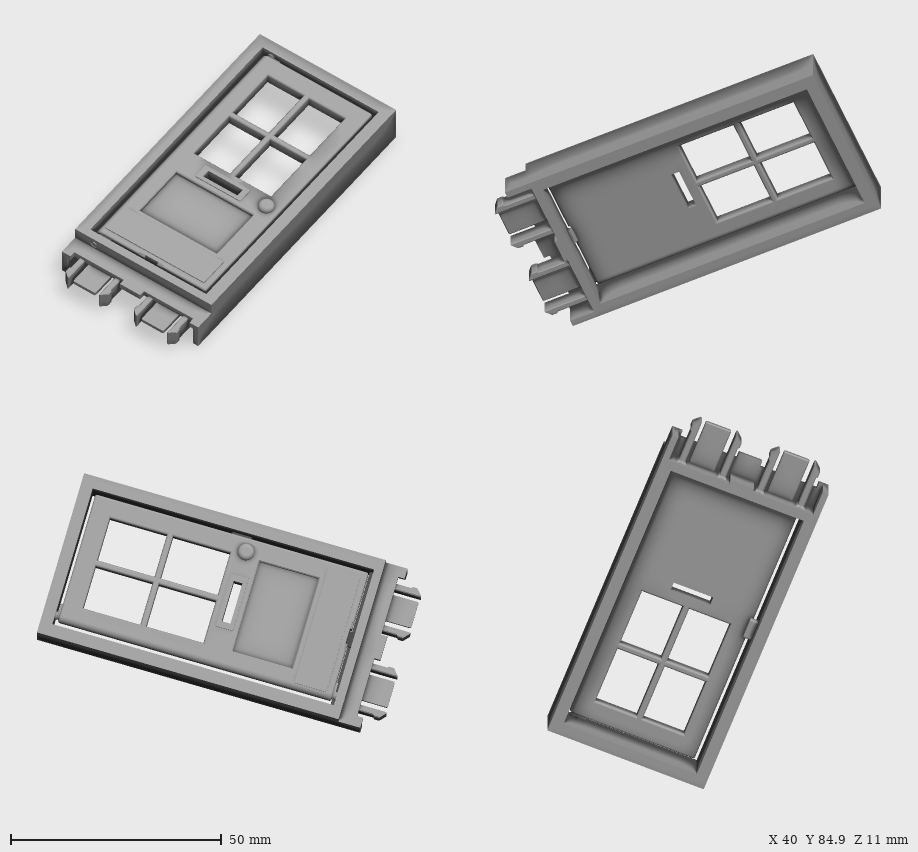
import cadquery as cq
import math


frame_width = 40.0
frame_height = 80.0
frame_depth = 10.0
bar_width = 3.0
opening_bottom = 7.4
sill_length = 5.35
sill_depth = 6.9
threshold_width = 1.0
cavity_ceiling = 5.35
cavity_wall = 1.5
cavity_length = 5.35
pocket_extra_length = 0.85
notch_length = 1.5
notch_end_margin = 2.55
centre_block_width = 5.95

opening_half_width = frame_width / 2 - bar_width
opening_top = frame_height - bar_width
notch_width = (frame_width - centre_block_width) / 2 - notch_end_margin
notch_centre = (centre_block_width + notch_width) / 2
pocket_width = (frame_width - centre_block_width) / 2 - cavity_wall
pocket_centre = (centre_block_width + pocket_width) / 2
pocket_end = cavity_length + pocket_extra_length

clip_centre = frame_width / 4
clip_reach = 4.9
clip_inner = 4.4
clip_outer = 5.95
barb_overhang = 0.3
barb_start = 2.1
barb_full = 2.4
barb_taper = 3.6
clip_tip_width = 0.3
clip_bottom = 1.7
clip_top = 5.95
clip_chamfer = 0.25
root_flare = 0.5
tongue_width = 6.45
tongue_reach = 4.75
tongue_thickness = 1.2
tongue_corner = 0.3
tongue_chamfer = 0.25

door_gap = 1.0
door_radius = 1.5
door_rounding = 0.5
door_bottom_z = 6.6

door_thickness = 2 * door_radius
door_top_z = door_bottom_z + door_thickness
door_half_width = opening_half_width - door_gap
door_y_min = opening_bottom + door_gap
door_y_max = opening_top - door_gap
door_length = door_y_max - door_y_min
door_y_mid = (door_y_min + door_y_max) / 2
hinge_x = door_radius - door_half_width
hinge_z = door_bottom_z + door_radius

boss_length = 0.5
boss_run = 3.0
boss_radius = 0.85
pin_root_radius = 1.1
pin_tip_radius = 0.6
hole_root_radius = 1.2
hole_tip_radius = 1.0
pin_depth = opening_bottom - sill_length

glazing_x = 0.1
glazing_y = 56.2
glazing_width = 23.6
glazing_height = 30.7
muntin_width = 0.5
rim_radius = 0.5
letter_plate_size = (13.2, 4.2)
letter_slot_size = (10.1, 2.1)
letter_y = 37.5
plate_thickness = 0.25
panel_size = (23.1, 15.2)
panel_y = 26.75
panel_depth = 1.0
panel_chamfer = 0.25
kick_plate_right = 14.4
kick_plate_y = (10.0, 17.9)
knob_x = 12.6
knob_y = 37.8
knob_flat_radius = 1.0
knob_round_radius = 1.0
knob_top_z = 11.0

catch_width = 3.7
catch_relief_width = 7.0
catch_end_y = 9.3
catch_top_z = 6.6
catch_low_z = 5.5
catch_base_z = 4.25
side_stop_length = 5.0
side_stop_reach = 2.0
side_stop_top_z = 5.95
side_stop_thickness = 1.7
side_stop_rounding = 0.5


def block(x_range, y_range, z_range):
    """Box between the given limits."""
    sides = [limits[1] - limits[0] for limits in (x_range, y_range, z_range)]
    return cq.Workplane().box(*sides, centered=False).translate((x_range[0], y_range[0], z_range[0]))


def centred_block(x_centre, width, y_range, z_range):
    """Box of the given width, centred on x_centre."""
    return block((x_centre - width / 2, x_centre + width / 2), y_range, z_range)


def cone_on_hinge(root_radius, tip_radius, root_y, tip_y):
    """Cone on the hinge axis, from its root at root_y to its tip at tip_y."""
    direction = cq.Vector(0, math.copysign(1, tip_y - root_y), 0)
    root = cq.Vector(hinge_x, root_y, hinge_z)
    return cq.Workplane(cq.Solid.makeCone(root_radius, tip_radius, abs(tip_y - root_y), root, direction))


def make_clip():
    """Barbed snap clip on the +X side of a clip group whose centre is X = 0."""
    barb_outer = clip_outer + barb_overhang
    outline = [
        (clip_inner, pocket_end),
        (clip_inner, -clip_reach),
        (clip_inner + clip_tip_width, -clip_reach),
        (barb_outer, -barb_taper),
        (barb_outer, -barb_full),
        (clip_outer, -barb_start),
        (clip_outer, pocket_end),
    ]
    arm = cq.Workplane().polyline(outline).close().extrude(clip_top - clip_bottom)
    arm = arm.faces("<Z or >Z").edges("|Y").chamfer(clip_chamfer).translate((0, 0, clip_bottom))
    root = (
        cq.Workplane("XZ", origin=((clip_inner + clip_outer) / 2, pocket_end, (clip_bottom + clip_top) / 2))
        .rect(clip_outer - clip_inner + 2 * root_flare, clip_top - clip_bottom + 2 * root_flare)
        .workplane(offset=root_flare)
        .rect(clip_outer - clip_inner, clip_top - clip_bottom)
        .loft()
        .edges("not (|X or |Z)")
        .chamfer(clip_chamfer)
    )
    return arm.union(root)


def make_tongue():
    """Flat guide tongue between two clips, centred on X = 0."""
    tongue = centred_block(
        0, tongue_width, (-tongue_reach, pocket_end), (cavity_ceiling - tongue_thickness, cavity_ceiling)
    )
    tongue = tongue.edges("|Z and <Y").fillet(tongue_corner)
    return tongue.faces("<Z").edges("<Y").chamfer(tongue_chamfer)


def make_frame():
    half_width = frame_width / 2
    frame = centred_block(0, frame_width, (0, frame_height), (0, frame_depth))
    frame = frame.cut(
        centred_block(0, 2 * opening_half_width, (opening_bottom, opening_top), (0, frame_depth))
    )
    frame = frame.union(
        centred_block(
            0, 2 * opening_half_width, (opening_bottom, opening_bottom + threshold_width), (0, cavity_ceiling)
        )
    )

    frame = frame.cut(centred_block(0, frame_width, (0, sill_length), (sill_depth, frame_depth)))
    frame = frame.cut(
        centred_block(0, 2 * (half_width - cavity_wall), (0, cavity_length), (0, cavity_ceiling))
    )
    for side in (-1, 1):
        frame = frame.cut(
            centred_block(side * pocket_centre, pocket_width, (0, pocket_end), (0, cavity_ceiling))
        )
        frame = frame.cut(
            centred_block(side * notch_centre, notch_width, (0, notch_length), (0, sill_depth))
        )

    clip = make_clip()
    clip_group = make_tongue().union(clip).union(clip.mirror("YZ"))
    for side in (-1, 1):
        frame = frame.union(clip_group.translate((side * clip_centre, 0, 0)))

    catch_outline = [
        (opening_bottom, catch_base_z),
        (opening_bottom, catch_top_z),
        (catch_end_y, catch_low_z),
        (opening_bottom + threshold_width, catch_base_z),
    ]
    catch = cq.Workplane("YZ").polyline(catch_outline).close().extrude(catch_width / 2, both=True)
    frame = frame.union(catch)

    stop_y = frame_height / 2
    stop = block(
        (opening_half_width - side_stop_reach, opening_half_width),
        (stop_y - side_stop_length / 2, stop_y + side_stop_length / 2),
        (side_stop_top_z - side_stop_thickness, side_stop_top_z),
    )
    frame = frame.union(stop.edges("|X").fillet(side_stop_rounding))

    lower_hole = cone_on_hinge(hole_root_radius, hole_tip_radius, opening_bottom, sill_length)
    upper_hole = cone_on_hinge(hole_root_radius, hole_tip_radius, opening_top, opening_top + pin_depth)
    return frame.cut(lower_hole).cut(upper_hole)


def hinge_profile(radius, run, y_start, length):
    """Bar along Y with a half-round -X edge on the hinge axis and a straight run towards +X."""
    return (
        cq.Workplane("XZ", origin=(hinge_x, y_start, hinge_z))
        .moveTo(0, -radius)
        .threePointArc((-radius, 0), (0, radius))
        .lineTo(run, radius)
        .lineTo(run, -radius)
        .close()
        .extrude(-length)
    )


def make_hinge_end():
    """Boss and pin at the lower end of the door."""
    boss_start = door_y_min - boss_length
    boss = hinge_profile(boss_radius, boss_run, boss_start, 2 * boss_length)
    pin = cone_on_hinge(pin_root_radius, pin_tip_radius, boss_start, opening_bottom - pin_depth)
    return boss.union(pin)


def make_panes():
    """Cutter for the clear openings of the four panes."""
    pane_width = (glazing_width - muntin_width) / 2 - 2 * rim_radius
    pane_height = (glazing_height - muntin_width) / 2 - 2 * rim_radius
    pitch_x = (glazing_width + muntin_width) / 2
    pitch_y = (glazing_height + muntin_width) / 2
    return (
        cq.Workplane(origin=(glazing_x, glazing_y, door_bottom_z))
        .rarray(pitch_x, pitch_y, 2, 2)
        .rect(pane_width, pane_height)
        .extrude(door_thickness)
    )


def make_knob():
    """Round knob: a flat top that rolls over into a rounded side."""
    round_centre_z = knob_top_z - knob_round_radius
    base_angle = math.asin((round_centre_z - door_top_z) / knob_round_radius)
    base_radius = knob_flat_radius + knob_round_radius * math.cos(base_angle)
    return (
        cq.Workplane("XZ", origin=(knob_x, knob_y, 0))
        .moveTo(0, door_top_z)
        .lineTo(0, knob_top_z)
        .lineTo(knob_flat_radius, knob_top_z)
        .threePointArc((knob_flat_radius + knob_round_radius, round_centre_z), (base_radius, door_top_z))
        .close()
        .revolve(360, (0, 0), (0, 1))
    )


def make_door():
    slab = hinge_profile(door_radius, door_half_width - hinge_x, door_y_min, door_length)
    slab = slab.faces("<Y or >Y or >X").edges().fillet(door_rounding)

    door = slab.cut(make_panes())
    rim_box = cq.selectors.BoxSelector(
        (glazing_x - glazing_width / 2, glazing_y - glazing_height / 2, door_bottom_z - rim_radius),
        (glazing_x + glazing_width / 2, glazing_y + glazing_height / 2, door_top_z + rim_radius),
    )
    door = door.edges(rim_box).edges("not |Z").fillet(rim_radius)

    panel = (
        cq.Workplane(origin=(glazing_x, panel_y, door_top_z - panel_depth))
        .rect(panel_size[0] - 2 * panel_chamfer, panel_size[1] - 2 * panel_chamfer)
        .extrude(panel_depth)
    )
    panel_rim = (
        cq.Workplane(origin=(glazing_x, panel_y, door_top_z))
        .rect(*panel_size)
        .workplane(offset=-panel_chamfer)
        .rect(panel_size[0] - 2 * panel_chamfer, panel_size[1] - 2 * panel_chamfer)
        .loft()
    )
    door = door.cut(panel).cut(panel_rim)

    plates_z = (door_top_z, door_top_z + plate_thickness)
    letter_plate = cq.Workplane(origin=(0, letter_y, door_top_z)).rect(*letter_plate_size)
    door = door.union(letter_plate.extrude(plate_thickness))
    letter_slot = cq.Workplane(origin=(0, letter_y, door_bottom_z)).rect(*letter_slot_size)
    door = door.cut(letter_slot.extrude(door_thickness + plate_thickness))
    door = door.union(block((hinge_x, kick_plate_right), kick_plate_y, plates_z))

    door = door.union(make_knob())

    relief_outline = [
        (door_y_min, door_top_z - door_rounding),
        (door_y_min + door_rounding, door_top_z),
        (door_y_min, door_top_z),
    ]
    relief = cq.Workplane("YZ").polyline(relief_outline).close().extrude(catch_relief_width / 2, both=True)
    slot = centred_block(0, catch_width, (door_y_min, door_y_min + door_rounding), (door_bottom_z, door_top_z))
    door = door.cut(relief).cut(slot)

    hinge_end = make_hinge_end()
    return door.union(hinge_end).union(hinge_end.mirror("XZ", (0, door_y_mid, 0)))


frame = make_frame()
door = make_door()
result = cq.Compound.makeCompound([frame.val(), door.val()])